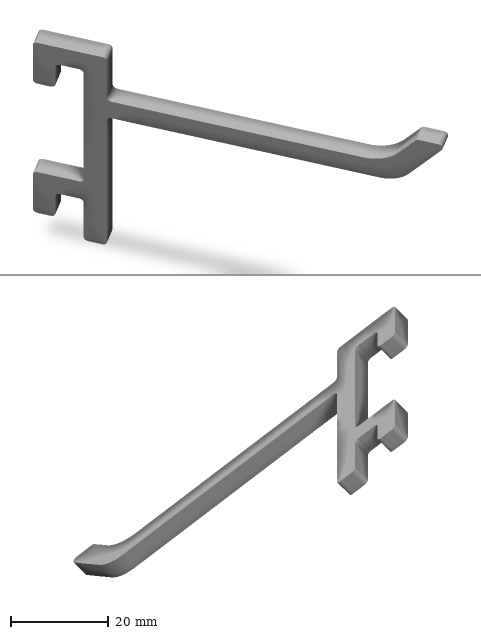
import cadquery as cq
import math

total_length = 88.1
width = 4.0
height = 55.0

bar = 5.0
plate_right = 15.95
plate_left = plate_right - bar
lip_thickness = 4.85
hook_drop = 12.0
hook_pitch = 38.0

arm_thickness = 4.85
arm_top = height - 12.5
arm_bottom = arm_top - arm_thickness
tip_top = height - 3.8
tip_angle = math.radians(52)
tip_flat = 6.5

corner_radius = 1.0
upper_bend_radius = 10.05
lower_bend_radius = 8.0

tip_right = total_length + corner_radius * (1 / math.tan(tip_angle / 2) - 1)
tip_left = tip_right - tip_flat
upper_bend_x = tip_left - (tip_top - arm_top) / math.tan(tip_angle)
lower_bend_x = tip_right - (tip_top - arm_bottom) / math.tan(tip_angle)


def hook_points(top):
    """Corners of one hook, from its top outer edge round to the plate."""
    return [
        (0, top),
        (0, top - hook_drop),
        (lip_thickness, top - hook_drop),
        (lip_thickness, top - bar),
        (plate_left, top - bar),
    ]


def extrude_outline(points):
    """Extrude an X-Z outline, centred on Y = 0."""
    return cq.Workplane("XZ").polyline(points).close().extrude(width / 2, both=True)


def round_corners(body, points, radius):
    """Round the edges along Y that pass through the given X-Z points."""
    for x, z in points:
        edge = cq.selectors.NearestToPointSelector((x, 0, z))
        body = body.edges("|Y").edges(edge).fillet(radius)
    return body


lower_hook_top = height - hook_pitch
plate_corners = (
    hook_points(height)
    + [(plate_left, lower_hook_top)]
    + hook_points(lower_hook_top)
    + [(plate_left, 0), (plate_right, 0)]
)
arm_roots = [(plate_right, arm_bottom), (plate_right, arm_top)]
lower_bend = (lower_bend_x, arm_bottom)
upper_bend = (upper_bend_x, arm_top)
tip_corners = [(tip_right, tip_top), (tip_left, tip_top)]
top_corner = (plate_right, height)

outline = plate_corners + [
    arm_roots[0],
    lower_bend,
    *tip_corners,
    upper_bend,
    arm_roots[1],
    top_corner,
]

result = extrude_outline(outline)
result = round_corners(result, plate_corners + [top_corner], corner_radius)
result = round_corners(result, arm_roots + tip_corners, corner_radius)
result = round_corners(result, [upper_bend], upper_bend_radius)
result = round_corners(result, [lower_bend], lower_bend_radius)